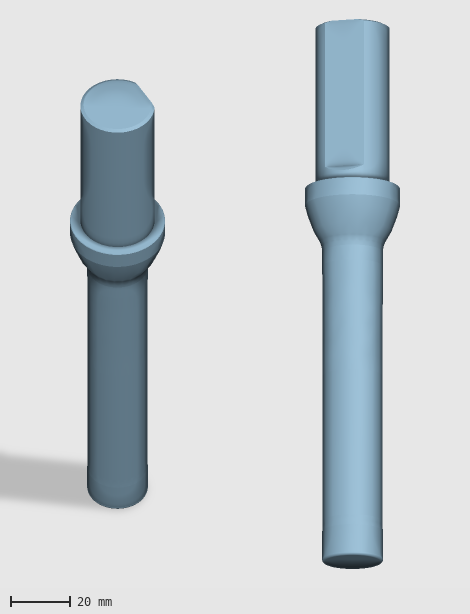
import cadquery as cq
import math

TOTAL_LENGTH = 186.0
SHANK_LENGTH = 56.0
COLLAR_BAND = 6.0
SHOULDER_HEIGHT = 16.0
LAND_LENGTH = 5.1
NECK_BOTTOM = 64.8
HEAD_CONE_TOP = 14.4
HEAD_CONE_BOTTOM = 11.0

COLLAR_TOP = TOTAL_LENGTH - SHANK_LENGTH
COLLAR_BOTTOM = COLLAR_TOP - COLLAR_BAND
LAND_TOP = COLLAR_BOTTOM - SHOULDER_HEIGHT
NECK_TOP = LAND_TOP - LAND_LENGTH

SHANK_RADIUS = 25.0 / 2
COLLAR_RADIUS = 32.0 / 2
HEAD_RADIUS = 20.38 / 2
BODY_RADIUS = 20.27 / 2

SHOULDER_MIDDLE = (12.45, LAND_TOP + 6.0)
SHOULDER_END = (COLLAR_RADIUS, COLLAR_BOTTOM)
SHOULDER_END_SLOPE = math.radians(14)
SHOULDER_START_DIRECTION = (0, 1)
SHOULDER_END_DIRECTION = (math.sin(SHOULDER_END_SLOPE), math.cos(SHOULDER_END_SLOPE))

COLLAR_CHAMFER = 0.2
SHANK_CHAMFER_WIDTH = 1.1
SHANK_CHAMFER_HEIGHT = 0.6
FLAT_OFFSET = 10.5
RUNOUT_BOTTOM = COLLAR_TOP + 3.4
RUNOUT_TOP = RUNOUT_BOTTOM + SHANK_RADIUS - FLAT_OFFSET

INSERT_RADIUS = 20.48 / 2
PLUG_RADIUS = 9.75
PLUG_TOP = 8.3
RIM_RADIUS = 0.8
RIM_CENTRE_RADIUS = INSERT_RADIUS - RIM_RADIUS
RIM_CENTRE_HEIGHT = 1.2
SEAT_HEIGHT = RIM_CENTRE_HEIGHT + math.sqrt(RIM_RADIUS**2 - (HEAD_RADIUS - RIM_CENTRE_RADIUS) ** 2)


def revolve_about_axis(profile):
    return profile.close().revolve(360, (0, 0, 0), (0, 1, 0))


def holder_blank():
    profile = (
        cq.Workplane("XZ")
        .moveTo(0, PLUG_TOP)
        .lineTo(PLUG_RADIUS, PLUG_TOP)
        .lineTo(PLUG_RADIUS, SEAT_HEIGHT)
        .lineTo(HEAD_RADIUS, SEAT_HEIGHT)
        .lineTo(HEAD_RADIUS, HEAD_CONE_BOTTOM)
        .lineTo(BODY_RADIUS, HEAD_CONE_TOP)
        .lineTo(BODY_RADIUS, NECK_BOTTOM)
        .lineTo(HEAD_RADIUS, NECK_TOP)
        .lineTo(HEAD_RADIUS, LAND_TOP)
        .spline(
            [SHOULDER_MIDDLE, SHOULDER_END],
            tangents=[SHOULDER_START_DIRECTION, SHOULDER_END_DIRECTION],
            includeCurrent=True,
        )
        .lineTo(COLLAR_RADIUS, COLLAR_TOP - COLLAR_CHAMFER)
        .lineTo(COLLAR_RADIUS - COLLAR_CHAMFER, COLLAR_TOP)
        .lineTo(SHANK_RADIUS, COLLAR_TOP)
        .lineTo(SHANK_RADIUS, TOTAL_LENGTH - SHANK_CHAMFER_HEIGHT)
        .lineTo(SHANK_RADIUS - SHANK_CHAMFER_WIDTH, TOTAL_LENGTH)
        .lineTo(0, TOTAL_LENGTH)
    )
    return revolve_about_axis(profile)


def shank_flat():
    return (
        cq.Workplane("YZ")
        .moveTo(FLAT_OFFSET, TOTAL_LENGTH)
        .lineTo(FLAT_OFFSET, RUNOUT_TOP)
        .lineTo(SHANK_RADIUS, RUNOUT_BOTTOM)
        .lineTo(COLLAR_RADIUS, RUNOUT_BOTTOM)
        .lineTo(COLLAR_RADIUS, TOTAL_LENGTH)
        .close()
        .extrude(COLLAR_RADIUS, both=True)
    )


def make_insert():
    profile = (
        cq.Workplane("XZ")
        .lineTo(RIM_CENTRE_RADIUS, RIM_CENTRE_HEIGHT - RIM_RADIUS)
        .threePointArc((INSERT_RADIUS, RIM_CENTRE_HEIGHT), (HEAD_RADIUS, SEAT_HEIGHT))
        .lineTo(PLUG_RADIUS, SEAT_HEIGHT)
        .lineTo(PLUG_RADIUS, PLUG_TOP)
        .lineTo(0, PLUG_TOP)
    )
    return revolve_about_axis(profile)


holder = holder_blank().cut(shank_flat())
insert = make_insert()
result = cq.Compound.makeCompound([holder.val(), insert.val()])